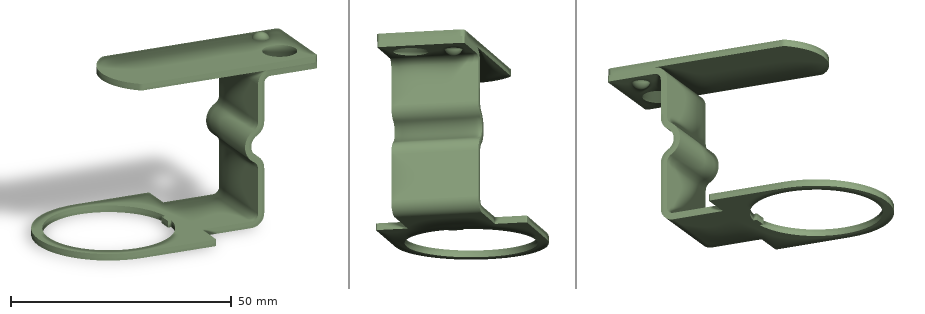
import cadquery as cq
import math

sheet = 1.6

ring_outer_radius = 17.65
ring_hole_radius = 15.1
ring_rear_y = 18.65
ring_corner_radius = 0.3
tab_width = 3.35
tab_tip_y = 14.1

strap_width = 20.4
rear_y = 47.75
strap_top_z = 37.55
wall_front_y = 32.7
bend_radius = 1.5 * sheet
strap_corner_radius = 0.5

bead_z = 19.6
bead_depth = 3.3
bead_half_height = 5.6
bead_front_radius = 4.4

cover_width = 20.65
cover_front_y = -1.75
cover_nose_radius = 13.1
cover_rear_corner_radius = 1.0
cover_front_corner_radius = 1.6

hole_row_y = 41.2
large_hole_x = 3.85
large_hole_diameter = 8.0
rivet_x = -6.1
rivet_shank_diameter = 2.5
rivet_head_radius = 2.0
rivet_top_z = 40.5

strap_left_x = -strap_width / 2
cover_centre_x = strap_left_x + cover_width / 2
cover_top_z = strap_top_z + sheet
rivet_head_height = rivet_top_z - cover_top_z


def vertical_cylinder(x, diameter):
    """Cylinder on the hole row, through both the strap top and the cover."""
    return (
        cq.Workplane("XY", origin=(x, hole_row_y, strap_top_z - sheet))
        .circle(diameter / 2)
        .extrude(2 * sheet)
    )


def make_ring_plate():
    outline = (
        cq.Workplane("XY")
        .moveTo(-ring_outer_radius, ring_rear_y)
        .lineTo(-ring_outer_radius, 0)
        .threePointArc((0, -ring_outer_radius), (ring_outer_radius, 0))
        .lineTo(ring_outer_radius, ring_rear_y)
        .close()
        .extrude(sheet)
        .edges("|Z and >Y")
        .fillet(ring_corner_radius)
    )
    opening = cq.Workplane("XY").circle(ring_hole_radius).extrude(sheet)
    tab_length = ring_rear_y - tab_tip_y
    tab = (
        cq.Workplane("XY")
        .center(0, tab_tip_y + tab_length / 2)
        .rect(tab_width, tab_length)
        .extrude(sheet)
    )
    return outline.cut(opening.cut(tab))


def make_strap():
    """Sheet section swept along the middle line of the bent strap."""
    middle_y = wall_front_y + sheet / 2
    bottom_z = sheet / 2
    top_z = strap_top_z - sheet / 2

    radius_sum = (bead_depth**2 + bead_half_height**2) / (2 * bead_depth)
    bead_radius = bead_front_radius - sheet / 2
    crest_y = middle_y - bead_depth
    bead_centre_y = crest_y + bead_radius
    joint_angle = math.asin(bead_half_height / radius_sum)
    joint_y = bead_centre_y - bead_radius * math.cos(joint_angle)
    joint_rise = bead_radius * math.sin(joint_angle)

    path = (
        cq.Workplane("YZ")
        .moveTo(ring_rear_y, bottom_z)
        .lineTo(middle_y - bend_radius, bottom_z)
        .tangentArcPoint((middle_y, bottom_z + bend_radius), relative=False)
        .lineTo(middle_y, bead_z - bead_half_height)
        .tangentArcPoint((joint_y, bead_z - joint_rise), relative=False)
        .threePointArc((crest_y, bead_z), (joint_y, bead_z + joint_rise))
        .tangentArcPoint((middle_y, bead_z + bead_half_height), relative=False)
        .lineTo(middle_y, top_z - bend_radius)
        .tangentArcPoint((middle_y + bend_radius, top_z), relative=False)
        .lineTo(rear_y, top_z)
    )
    return (
        cq.Workplane("XZ", origin=(0, ring_rear_y, bottom_z))
        .rect(strap_width, sheet)
        .sweep(path)
        .edges("|Z and >Y")
        .fillet(strap_corner_radius)
    )


def make_bracket():
    bracket = make_ring_plate().union(make_strap())
    bracket = bracket.cut(vertical_cylinder(large_hole_x, large_hole_diameter))
    return bracket.cut(vertical_cylinder(rivet_x, rivet_shank_diameter))


def make_cover():
    half_width = cover_width / 2
    nose_centre_y = cover_front_y + cover_nose_radius
    nose_side_y = nose_centre_y - math.sqrt(cover_nose_radius**2 - half_width**2)
    cover = (
        cq.Workplane("XY", origin=(cover_centre_x, 0, strap_top_z))
        .moveTo(-half_width, rear_y)
        .lineTo(-half_width, nose_side_y)
        .threePointArc((0, cover_front_y), (half_width, nose_side_y))
        .lineTo(half_width, rear_y)
        .close()
        .extrude(sheet)
    )
    cover = cover.edges("|Z and >Y").fillet(cover_rear_corner_radius)
    cover = cover.edges("|Z").edges("<Y").fillet(cover_front_corner_radius)
    cover = cover.cut(vertical_cylinder(large_hole_x, large_hole_diameter))
    return cover.cut(vertical_cylinder(rivet_x, rivet_shank_diameter))


def make_rivet():
    """Shank with the same domed head at both ends, revolved about its axis."""
    shank_radius = rivet_shank_diameter / 2
    head_underside = sheet
    head_tip = head_underside + rivet_head_height
    dome_radius = (rivet_head_radius**2 + rivet_head_height**2) / (2 * rivet_head_height)
    dome_centre = head_tip - dome_radius
    mid_radius = rivet_head_radius / 2
    mid_height = dome_centre + math.sqrt(dome_radius**2 - mid_radius**2)
    return (
        cq.Workplane("XZ", origin=(rivet_x, hole_row_y, strap_top_z))
        .moveTo(0, -head_tip)
        .threePointArc((mid_radius, -mid_height), (rivet_head_radius, -head_underside))
        .lineTo(shank_radius, -head_underside)
        .lineTo(shank_radius, head_underside)
        .lineTo(rivet_head_radius, head_underside)
        .threePointArc((mid_radius, mid_height), (0, head_tip))
        .close()
        .revolve(360, (0, 0, 0), (0, 1, 0))
    )


bracket = make_bracket()
cover = make_cover()
rivet = make_rivet()

result = cq.Compound.makeCompound([bracket.val(), cover.val(), rivet.val()])